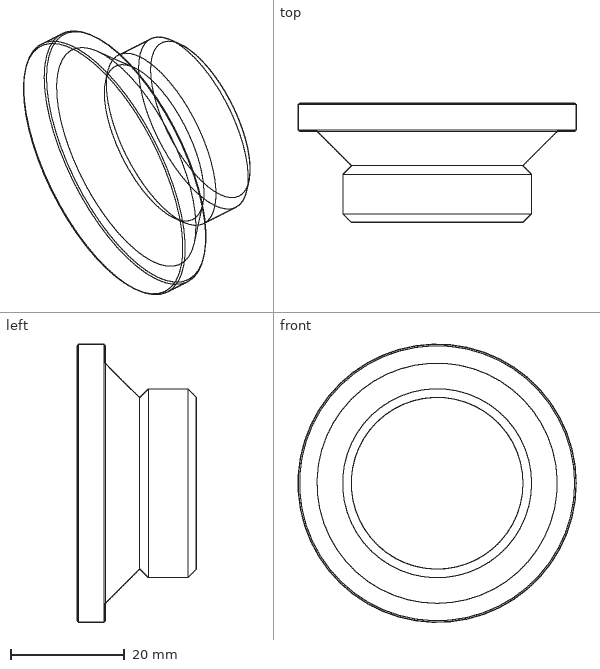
import cadquery as cq

flange_diameter = 49.0
flange_thickness = 5.0
flange_chamfer = 0.3
knob_diameter = 33.25
knob_length = 10.0
knob_chamfer = 1.5
total_length = 21.0

neck_length = total_length - flange_thickness - knob_length
neck_small_radius = knob_diameter / 2 - knob_chamfer
neck_large_radius = neck_small_radius + neck_length


def disc(diameter, thickness, chamfer, back_y):
    """Disc on the Y axis, extending toward -Y, with both rims chamfered."""
    plane = cq.Workplane("XZ", origin=(0, back_y, 0))
    return plane.circle(diameter / 2).extrude(thickness).edges().chamfer(chamfer)


def neck(back_y):
    """Cone on the Y axis, narrowing toward -Y."""
    return cq.Workplane("XY").add(
        cq.Solid.makeCone(
            neck_large_radius,
            neck_small_radius,
            neck_length,
            pnt=cq.Vector(0, back_y, 0),
            dir=cq.Vector(0, -1, 0),
        )
    )


flange = disc(flange_diameter, flange_thickness, flange_chamfer, 0)
knob = disc(knob_diameter, knob_length, knob_chamfer, -flange_thickness - neck_length)

result = flange.union(neck(-flange_thickness)).union(knob)